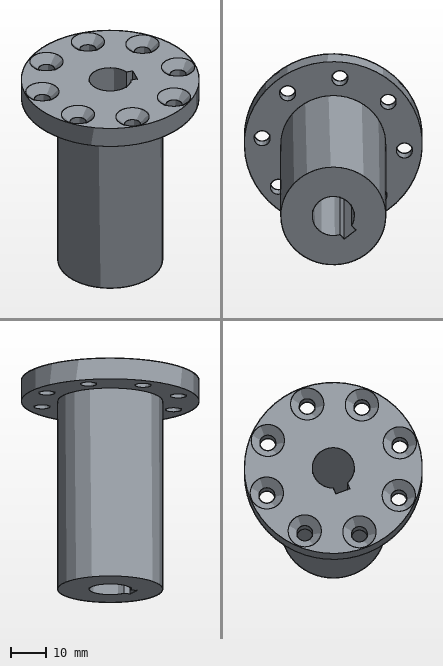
import cadquery as cq

total_height = 61.55
flange_diameter = 50.8
flange_thickness = 6.15
hub_diameter = 30.0

bore_diameter = 12.0
keyway_width = 4.3
keyway_reach = 7.45

screw_count = 8
screw_circle_diameter = 40.75
screw_hole_diameter = 4.55
countersink_diameter = 9.5
countersink_angle = 90.0


def make_body():
    hub = cq.Workplane("XY").circle(hub_diameter / 2).extrude(total_height)
    flange = (
        cq.Workplane("XY", origin=(0, 0, total_height - flange_thickness))
        .circle(flange_diameter / 2)
        .extrude(flange_thickness)
    )
    return hub.union(flange)


def make_keyed_bore():
    bore = cq.Workplane("XY").circle(bore_diameter / 2).extrude(total_height)
    keyway = (
        cq.Workplane("XY")
        .center(0, keyway_reach / 2)
        .rect(keyway_width, keyway_reach)
        .extrude(total_height)
    )
    return bore.union(keyway)


def cut_screw_holes(body):
    return (
        body.faces(">Z")
        .workplane(origin=(0, 0, total_height))
        .polarArray(screw_circle_diameter / 2, 0, 360, screw_count)
        .cskHole(screw_hole_diameter, countersink_diameter, countersink_angle, depth=flange_thickness)
    )


result = cut_screw_holes(make_body()).cut(make_keyed_bore())